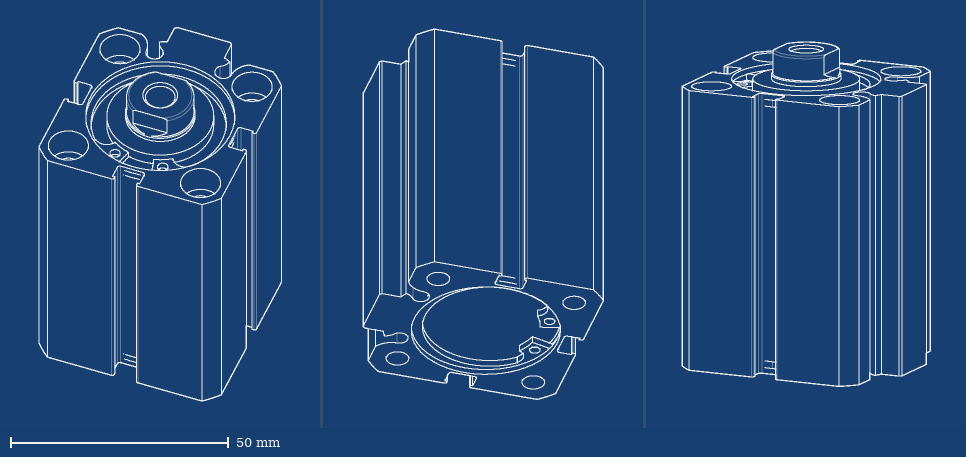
import cadquery as cq
import math


body_width = 45.0
half_width = body_width / 2
body_length = 66.0
corner_diameter = 59.0
bore_radius = 17.15
mount_pitch = 32.6
mount_hole_diameter = 5.2
mount_counterbore_diameter = 9.2
mount_counterbore_depth = 7.0

groove_radius = 17.85
ring_depth = 1.35
ring_thickness = 1.6
ring_inner_radius = 15.55
ring_inner_offset = -1.0
ring_gap_angle = 14.4
gap_overrun = 1.0
lug_inner_radius = 12.5
eyelet_circle_radius = 14.75
eyelet_angle = 23.5
eyelet_diameter = 2.4
relief_radius = 2.7
relief_circle_radius = 13.3
relief_angle = 46.5

slot_wall = 0.15
slot_floor = groove_radius + slot_wall
slot_width = 6.65
slot_opening = 5.5
slot_lip = 0.95
slot_floor_fillet = 0.6
slot_edge_fillet = 0.5

rail_width = 14.1
rail_top = 27.5
rail_chamfer = 0.5
rail_barb_x = 8.7
rail_barb_y = 21.75
hook_bend = (8.0, 20.4)
undercut_x = 8.5
undercut_y = 18.2
undercut_radius = 2.0
undercut_mouth_x = 13.2
mouth_bend = (11.45, 20.95)

cover_length = 10.0
boss_radius = 12.3

rod_radius = 8.0
rod_top = 73.0
shoulder_height = 67.3
shoulder_chamfer = 0.25
neck_radius = 7.75
neck_fillet = 0.5
flats_width = 13.0
flats_length = 4.5
thread_diameter = 6.8
thread_depth = 13.0
thread_countersink_diameter = 8.0
drill_tip_angle = 118.0
piston_length = 10.0

ring_lower = body_length - ring_depth - ring_thickness


def cylinder(radius, bottom, top):
    return cq.Workplane("XY").workplane(offset=bottom).circle(radius).extrude(top - bottom)


def from_minus_y(radius, angle):
    """Point at a radius and at an angle counter-clockwise from -Y."""
    turn = math.radians(angle)
    return radius * math.sin(turn), -radius * math.cos(turn)


def sector(inner, outer, half_angle):
    """Flat sector of the ring, centred on -Y."""
    return (
        cq.Workplane("XY")
        .moveTo(*from_minus_y(inner, -half_angle))
        .lineTo(*from_minus_y(outer, -half_angle))
        .threePointArc(from_minus_y(outer, 0), from_minus_y(outer, half_angle))
        .lineTo(*from_minus_y(inner, half_angle))
        .threePointArc(from_minus_y(inner, 0), from_minus_y(inner, -half_angle))
        .close()
        .extrude(ring_thickness)
    )


def mirror_end(shape):
    """Carry a shape from the top end of the housing to the bottom end."""
    return shape.mirror("XY", (0, 0, body_length / 2))


def make_slot():
    """T-shaped slot in the -Y side, with rounded floor corners and mouth edges."""
    channel_depth = half_width - slot_lip - slot_floor
    channel = (
        cq.Workplane("XY")
        .center(0, -slot_floor - channel_depth / 2)
        .rect(slot_width, channel_depth)
        .extrude(body_length)
        .edges("|Z and >Y")
        .fillet(slot_floor_fillet)
    )
    half_opening = slot_opening / 2
    edge = slot_edge_fillet
    bend = edge * (1 - math.sqrt(0.5))
    mouth = (
        cq.Workplane("XY")
        .moveTo(-half_opening, -half_width + slot_lip)
        .lineTo(-half_opening, -half_width + edge)
        .threePointArc((-half_opening - bend, -half_width + bend), (-half_opening - edge, -half_width))
        .lineTo(half_opening + edge, -half_width)
        .threePointArc((half_opening + bend, -half_width + bend), (half_opening, -half_width + edge))
        .lineTo(half_opening, -half_width + slot_lip)
        .close()
        .extrude(body_length)
    )
    return channel.union(mouth)


def make_undercut():
    """Clear space beside the rail, on the -X side: a hooked groove ending in a round bottom."""
    diagonal = math.sqrt(0.5)
    blend = (-undercut_x + undercut_radius * diagonal, undercut_y + undercut_radius * diagonal)
    bottom = (-undercut_x, undercut_y - undercut_radius)
    outer_side = (-undercut_x - undercut_radius, undercut_y)
    return (
        cq.Workplane("XY")
        .moveTo(-rail_width / 2, half_width)
        .lineTo(-rail_barb_x, rail_barb_y)
        .threePointArc((-hook_bend[0], hook_bend[1]), blend)
        .threePointArc(bottom, outer_side)
        .threePointArc((-mouth_bend[0], mouth_bend[1]), (-undercut_mouth_x, half_width))
        .close()
        .extrude(body_length)
    )


def make_housing():
    body = cq.Workplane("XY").rect(body_width, body_width).extrude(body_length)
    body = body.intersect(cylinder(corner_diameter / 2, 0, body_length))

    rail_height = rail_top - undercut_y
    rail = (
        cq.Workplane("XY")
        .center(0, undercut_y + rail_height / 2)
        .rect(rail_width, rail_height)
        .extrude(body_length)
        .edges("|Z and >Y")
        .chamfer(rail_chamfer)
    )
    undercut = make_undercut()
    body = body.union(rail).cut(undercut).cut(undercut.mirror("YZ"))

    slot = make_slot()
    for turn in (-90, 0, 90):
        body = body.cut(slot.rotate((0, 0, 0), (0, 0, 1), turn))

    body = (
        body.faces(">Z")
        .workplane(origin=(0, 0, body_length))
        .rect(mount_pitch, mount_pitch, forConstruction=True)
        .vertices()
        .cboreHole(mount_hole_diameter, mount_counterbore_diameter, mount_counterbore_depth)
    )

    groove = cylinder(groove_radius, ring_lower, ring_lower + ring_thickness)
    return body.cut(cylinder(bore_radius, 0, body_length)).cut(groove).cut(mirror_end(groove))


def ring_disc(center, radius):
    """Disc as thick as the ring."""
    return cq.Workplane("XY").center(*center).circle(radius).extrude(ring_thickness)


def make_ring():
    """Retaining ring at the top end, with its gap and two eyelet lugs towards -Y."""
    ring = ring_disc((0, 0), groove_radius).cut(ring_disc((0, ring_inner_offset), ring_inner_radius))
    ring = ring.union(sector(lug_inner_radius, groove_radius, relief_angle))
    for side in (-1, 1):
        relief_center = from_minus_y(relief_circle_radius, side * relief_angle)
        eyelet_center = from_minus_y(eyelet_circle_radius, side * eyelet_angle)
        ring = ring.cut(ring_disc(relief_center, relief_radius))
        ring = ring.cut(ring_disc(eyelet_center, eyelet_diameter / 2))
    gap = sector(lug_inner_radius - gap_overrun, groove_radius + gap_overrun, ring_gap_angle)
    return ring.cut(gap).translate((0, 0, ring_lower))


def make_front_cover():
    flange = cylinder(bore_radius, ring_lower - cover_length, ring_lower)
    boss = cylinder(boss_radius, ring_lower, body_length)
    return flange.union(boss).cut(cylinder(rod_radius, 0, body_length))


def make_rear_cover():
    return mirror_end(cylinder(bore_radius, ring_lower - cover_length, ring_lower))


def make_piston_rod():
    """Rod turned with its piston, resting on the rear cover, with flats and a threaded end."""
    piston_bottom = body_length - ring_lower + cover_length
    piston_top = piston_bottom + piston_length
    tip_height = thread_diameter / 2 / math.tan(math.radians(drill_tip_angle / 2))
    countersink_depth = (thread_countersink_diameter - thread_diameter) / 2
    thread_bottom = rod_top - thread_depth
    rod = (
        cq.Workplane("XZ")
        .moveTo(0, piston_bottom)
        .lineTo(bore_radius, piston_bottom)
        .lineTo(bore_radius, piston_top)
        .lineTo(rod_radius, piston_top)
        .lineTo(rod_radius, shoulder_height - shoulder_chamfer)
        .lineTo(neck_radius, shoulder_height)
        .lineTo(neck_radius, rod_top - neck_fillet)
        .radiusArc((neck_radius - neck_fillet, rod_top), -neck_fillet)
        .lineTo(thread_countersink_diameter / 2, rod_top)
        .lineTo(thread_diameter / 2, rod_top - countersink_depth)
        .lineTo(thread_diameter / 2, thread_bottom)
        .lineTo(0, thread_bottom - tip_height)
        .close()
        .revolve(360, (0, 0, 0), (0, 1, 0))
    )

    flat_y = flats_width / 2
    runout = rod_radius - flat_y
    flat_bottom = rod_top - flats_length
    flat = (
        cq.Workplane("YZ")
        .moveTo(flat_y, rod_top)
        .lineTo(flat_y, flat_bottom)
        .lineTo(flat_y + runout, flat_bottom - runout)
        .lineTo(flat_y + runout, rod_top)
        .close()
        .extrude(rod_radius, both=True)
    )
    return rod.cut(flat).cut(flat.mirror("XZ"))


housing = make_housing()
front_cover = make_front_cover()
rear_cover = make_rear_cover()
front_ring = make_ring()
rear_ring = mirror_end(front_ring)
piston_rod = make_piston_rod()

result = cq.Compound.makeCompound(
    [
        housing.val(),
        front_cover.val(),
        rear_cover.val(),
        front_ring.val(),
        rear_ring.val(),
        piston_rod.val(),
    ]
)